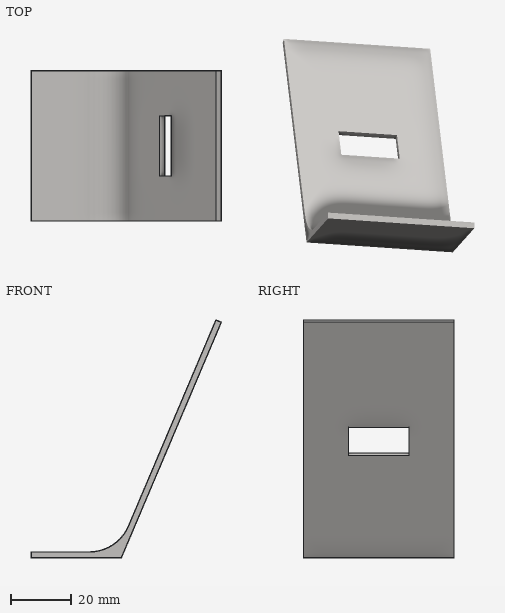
import cadquery as cq
import math

width = 50.0
thickness = 2.0
base_length = 30.0
arm_length = 85.0
arm_angle = 67.0
bend_radius = 14.0
slot_width = 20.0
slot_height = 10.0
slot_distance = 42.0

cos_arm = math.cos(math.radians(arm_angle))
sin_arm = math.sin(math.radians(arm_angle))


def arm_point(along, inward):
    """XZ point on the arm: distance along its outer face, then depth toward the inner face."""
    return (
        base_length + along * cos_arm - inward * sin_arm,
        along * sin_arm + inward * cos_arm,
    )


def make_bracket():
    """Flat base and tilted arm with a sharp outer corner and a rounded inner one."""
    half_turn = math.tan(math.radians(arm_angle / 2))
    fillet_reach = (thickness + bend_radius) * half_turn
    fillet_start = (base_length - fillet_reach, thickness)
    fillet_end = arm_point(fillet_reach, thickness)
    return (
        cq.Workplane("XZ")
        .polyline([(0, thickness), (0, 0), (base_length, 0), arm_point(arm_length, 0),
                   arm_point(arm_length, thickness), fillet_end])
        .radiusArc(fillet_start, bend_radius)
        .close()
        .extrude(-width)
    )


def make_slot_cutter():
    """Rectangular slot through the arm, square to its faces and centred across the width."""
    centre_x, centre_z = arm_point(slot_distance, thickness / 2)
    slot_plane = cq.Plane(
        origin=(centre_x, width / 2, centre_z),
        xDir=(0, 1, 0),
        normal=(-sin_arm, 0, cos_arm),
    )
    return cq.Workplane(slot_plane).rect(slot_width, slot_height).extrude(thickness, both=True)


result = make_bracket().cut(make_slot_cutter())